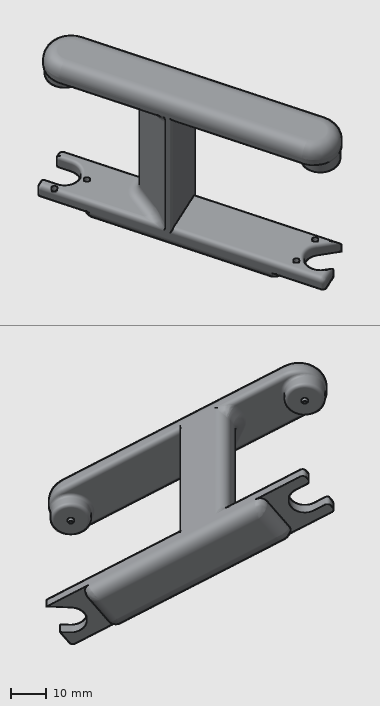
import cadquery as cq
import math

LENGTH = 92.0
WIDTH = 16.0
HEIGHT = 59.0
HALF_WIDTH = WIDTH / 2

BAR_HEIGHT = 7.0
BAR_TOP_ROUND = 4.05
BAR_BOTTOM_ROUND = 1.5
BAR_BOTTOM = HEIGHT - BAR_HEIGHT

PAD_X = 40.0
PAD_RADIUS = 5.8
PAD_HEIGHT = 4.1
PAD_EDGE_ROUND = 1.0
PAD_ROOT_ROUND = 0.9
PAD_OVERLAP = 2.8
PIN_RADIUS = 1.0
PIN_TIP_RADIUS = 0.55
PIN_HEIGHT = 0.8
PIN_TAPER = math.degrees(math.atan((PIN_RADIUS - PIN_TIP_RADIUS) / PIN_HEIGHT))

PLATE_LENGTH = 90.2
PLATE_BOTTOM = 3.9
PLATE_TOP = 8.0
PLATE_EDGE_ROUND = 1.6
PLATE_CORNER_ROUND = 1.2
HALF_PLATE = PLATE_LENGTH / 2

NOTCH_RADIUS = 4.6
NOTCH_RIM_ROUND = 1.1
MOUTH_ROUND = 1.2
LEFT_THROAT = HALF_PLATE - PAD_X - MOUTH_ROUND
RIGHT_THROAT = 9.2
LEFT_NOTCH_ANGLE = 180.0
RIGHT_NOTCH_ANGLE = 37.0
DIMPLE_CIRCLE_RADIUS = 7.0
DIMPLE_RADIUS = 0.9
DIMPLE_TIP_RADIUS = 0.55
DIMPLE_DEPTH = 1.8
DIMPLE_TURNS = (90, 180)

FOOT_LENGTH = 61.8
FOOT_CORNER_ROUND = 2.3
FOOT_OVERLAP = 0.9

POST_RIGHT = -2.8
POST_FRONT_LEFT = -4.8
POST_LEFT = -17.85
POST_SLANT_ANGLE = 36.5
POST_ROUND = 3.0
POST_LIP_ROUND = 0.6
POST_FRONT_EXCESS = 5.5
SLANT_RUN = 1 / math.tan(math.radians(POST_SLANT_ANGLE))
SLANT_END_Y = (POST_FRONT_LEFT - POST_LEFT) / SLANT_RUN - HALF_WIDTH


def make_pad():
    """Round pad with a small tapered pin below its centre."""
    bottom = BAR_BOTTOM - PAD_HEIGHT
    pad = cq.Workplane("XY").workplane(offset=bottom).circle(PAD_RADIUS).extrude(PAD_HEIGHT + PAD_OVERLAP)
    pad = pad.faces("<Z").edges().fillet(PAD_EDGE_ROUND)
    pin = cq.Workplane("XY").workplane(offset=bottom).circle(PIN_RADIUS).extrude(-PIN_HEIGHT, taper=PIN_TAPER)
    return pad.union(pin)


def make_bar():
    """Rounded bar with a pad blended into its underside at each end."""
    bar = cq.Workplane("XY").workplane(offset=BAR_BOTTOM).slot2D(LENGTH, WIDTH).extrude(BAR_HEIGHT)
    bar = bar.faces(">Z").edges().fillet(BAR_TOP_ROUND).faces("<Z").edges().fillet(BAR_BOTTOM_ROUND)
    right_pad = make_pad().translate((PAD_X, 0, 0))
    bar = bar.union(right_pad).union(right_pad.rotate((0, 0, 0), (0, 0, 1), 180))
    for side in (-1, 1):
        pad_root = cq.selectors.NearestToPointSelector((side * (PAD_X - PAD_RADIUS), 0, BAR_BOTTOM))
        bar = bar.edges(pad_root).fillet(PAD_ROOT_ROUND)
    return bar


def make_plate_blank():
    plate = cq.Workplane("XY").workplane(offset=PLATE_BOTTOM).rect(PLATE_LENGTH, WIDTH)
    plate = plate.extrude(PLATE_TOP - PLATE_BOTTOM).edges("|Z").fillet(PLATE_CORNER_ROUND)
    return plate.faces(">Z").edges().fillet(PLATE_EDGE_ROUND)


def make_frame():
    """Bar, plate and post in one piece, with the post roots blended on the slanted side."""
    front_y = -HALF_WIDTH - POST_FRONT_EXCESS
    front_left = POST_FRONT_LEFT + POST_FRONT_EXCESS * SLANT_RUN
    front_right = front_left + POST_RIGHT - POST_FRONT_LEFT
    post = (
        cq.Workplane("XY").workplane(offset=PLATE_BOTTOM)
        .moveTo(front_right, front_y)
        .lineTo(front_left, front_y)
        .lineTo(POST_LEFT, SLANT_END_Y)
        .lineTo(POST_LEFT, HALF_WIDTH)
        .lineTo(POST_RIGHT, HALF_WIDTH)
        .lineTo(POST_RIGHT, -HALF_WIDTH)
        .close()
        .extrude(BAR_BOTTOM + BAR_BOTTOM_ROUND - PLATE_BOTTOM)
        .edges("|Z and <X").fillet(POST_ROUND)
    )
    frame = make_bar().union(make_plate_blank()).union(post)

    slant_middle = ((POST_FRONT_LEFT + POST_LEFT) / 2, (SLANT_END_Y - HALF_WIDTH) / 2)
    for root_z in (PLATE_TOP, BAR_BOTTOM):
        root = cq.selectors.NearestToPointSelector((*slant_middle, root_z))
        frame = frame.edges(root).fillet(POST_ROUND)
    frame = frame.intersect(cq.Workplane("XY").box(LENGTH, WIDTH, 2 * HEIGHT))

    lip = cq.selectors.NearestToPointSelector((POST_RIGHT, -HALF_WIDTH, HEIGHT / 2))
    return frame.edges(lip).fillet(POST_LIP_ROUND)


def make_notch(x, angle, throat):
    """Round-ended slot with a rounded rim, open toward the angle; its sides flare apart past the throat."""
    mouth = throat + MOUTH_ROUND
    arc_x = throat + MOUTH_ROUND * math.sqrt(0.5)
    arc_y = NOTCH_RADIUS + MOUTH_ROUND * (1 - math.sqrt(0.5))
    flare_y = NOTCH_RADIUS + MOUTH_ROUND
    blank = cq.Workplane("XY").rect(2 * PLATE_LENGTH, 2 * PLATE_LENGTH).extrude(PLATE_TOP)
    opening = (
        cq.Workplane("XY")
        .moveTo(PLATE_LENGTH, PLATE_LENGTH)
        .lineTo(mouth, PLATE_LENGTH)
        .lineTo(mouth, flare_y)
        .threePointArc((arc_x, arc_y), (throat, NOTCH_RADIUS))
        .lineTo(0, NOTCH_RADIUS)
        .threePointArc((-NOTCH_RADIUS, 0), (0, -NOTCH_RADIUS))
        .lineTo(throat, -NOTCH_RADIUS)
        .threePointArc((arc_x, -arc_y), (mouth, -flare_y))
        .lineTo(mouth, -PLATE_LENGTH)
        .lineTo(PLATE_LENGTH, -PLATE_LENGTH)
        .close()
        .extrude(PLATE_TOP)
    )
    rim = cq.selectors.NearestToPointSelector((-NOTCH_RADIUS, 0, PLATE_TOP))
    wall = blank.cut(opening).edges(rim).fillet(NOTCH_RIM_ROUND)
    return blank.cut(wall).rotate((0, 0, 0), (0, 0, 1), angle).translate((x, 0, 0))


def make_dimples(x, angle):
    """Tapered dimples beside and behind the notch."""
    dimples = cq.Workplane("XY")
    down = cq.Vector(0, 0, -1)
    for turn in DIMPLE_TURNS:
        direction = math.radians(angle + turn)
        place = cq.Vector(
            x + DIMPLE_CIRCLE_RADIUS * math.cos(direction),
            DIMPLE_CIRCLE_RADIUS * math.sin(direction),
            PLATE_TOP,
        )
        dimples.add(cq.Solid.makeCone(DIMPLE_RADIUS, DIMPLE_TIP_RADIUS, DIMPLE_DEPTH, place, down))
    return dimples.combine()


def make_foot():
    foot = cq.Workplane("XY").rect(FOOT_LENGTH, WIDTH).extrude(PLATE_BOTTOM + FOOT_OVERLAP)
    return foot.edges("|Z").fillet(FOOT_CORNER_ROUND).faces("<Z").edges().fillet(PLATE_BOTTOM)


result = make_frame().union(make_foot())
for x, angle, throat in (
    (-PAD_X, LEFT_NOTCH_ANGLE, LEFT_THROAT),
    (PAD_X, RIGHT_NOTCH_ANGLE, RIGHT_THROAT),
):
    result = result.cut(make_notch(x, angle, throat)).cut(make_dimples(x, angle))